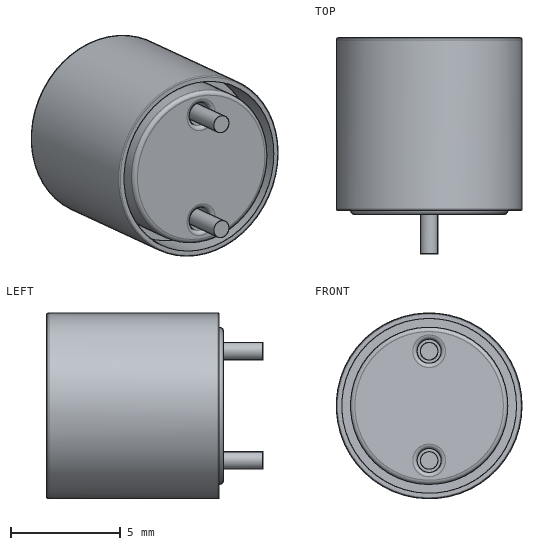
import cadquery as cq

total_length = 9.9
pin_length = 1.8
cap_step = 0.2

can_diameter = 8.5
back_edge_radius = 0.1
rim_edge_radius = 0.05

groove_outer_diameter = 8.0
cap_diameter = 7.2
groove_depth = 2.0
cap_edge_radius = 0.2

pin_diameter = 0.8
pin_spacing = 5.0
recess_diameter = 1.1
recess_flare_radius = 0.2

pin_tip_y = -total_length / 2
cap_face_y = pin_tip_y + pin_length
rim_y = cap_face_y + cap_step
back_y = total_length / 2
floor_y = rim_y + groove_depth


def cylinder(diameter, start_y, end_y, z=0.0):
    """Cylinder along Y from start_y to end_y, with its axis at height z."""
    start_plane = cq.Plane(origin=(0, start_y, z), xDir=(1, 0, 0), normal=(0, 1, 0))
    return cq.Workplane(start_plane).circle(diameter / 2).extrude(end_y - start_y)


def make_can():
    """Closed can with a ring-groove floor set back from its rim."""
    can = cylinder(can_diameter, rim_y, back_y)
    can = can.faces(">Y").edges().fillet(back_edge_radius)
    can = can.faces("<Y").edges().fillet(rim_edge_radius)
    return can.cut(cylinder(groove_outer_diameter, rim_y, floor_y))


def make_cap():
    """Round cap standing on the groove floor, with a rounded front edge."""
    cap = cylinder(cap_diameter, cap_face_y, floor_y)
    return cap.faces("<Y").edges().fillet(cap_edge_radius)


def make_recess_cutter(z):
    """Recess around a pin: straight bore that flares out to the cap face along an arc."""
    bore_radius = recess_diameter / 2
    mouth_radius = bore_radius + recess_flare_radius
    flare_end_y = cap_face_y + recess_flare_radius
    profile = (
        cq.Workplane("XY")
        .moveTo(0, cap_face_y)
        .lineTo(mouth_radius, cap_face_y)
        .radiusArc((bore_radius, flare_end_y), recess_flare_radius)
        .lineTo(bore_radius, floor_y)
        .lineTo(0, floor_y)
        .close()
    )
    return profile.revolve(360, (0, 0, 0), (0, 1, 0)).translate((0, 0, z))


result = make_can().union(make_cap())
for pin_z in (-pin_spacing / 2, pin_spacing / 2):
    result = result.cut(make_recess_cutter(pin_z))
    result = result.union(cylinder(pin_diameter, pin_tip_y, floor_y, pin_z))